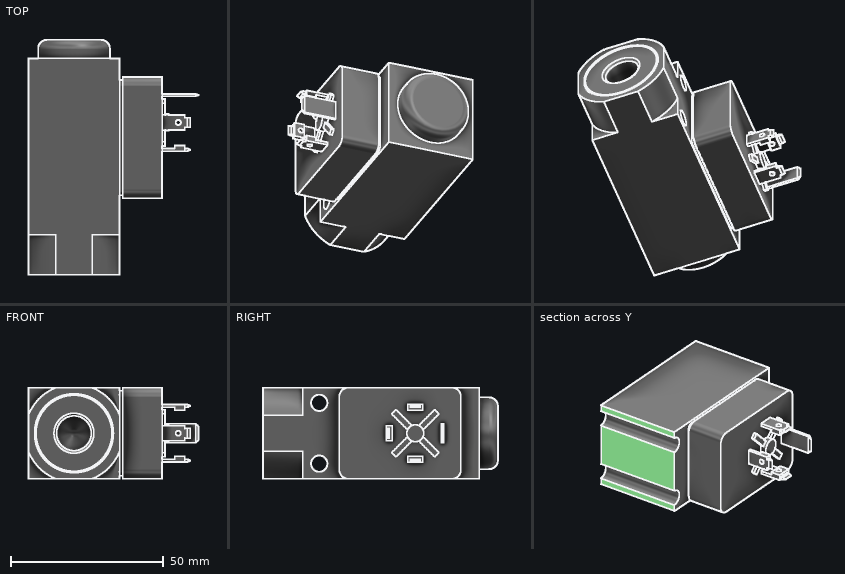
import cadquery as cq
import math

body_side = 30.0
body_length = 71.2
half_side = body_side / 2

neck_length = 13.1
neck_diameter = 32.3

cap_diameter = 23.7
cap_height = 6.1
cap_round = 3.0

port_diameter = 11.45
port_mouth_diameter = 13.16
port_depth = 8.0
drill_point_angle = 118.0

ring_diameter = 26.0
ring_groove_size = 0.5

bolt_hole_diameter = 5.3
bolt_hole_spacing = 20.0
bolt_hole_y = 18.5

plate_thickness = 1.0
block_thickness = 13.0
block_length = 40.0
block_height = body_side
block_round = 3.0
plate_inset = 1.0
block_near_y = 25.1
block_center_y = block_near_y + block_length / 2
block_base_x = half_side + plate_thickness
block_face_x = block_base_x + block_thickness

contact_axis_y = block_near_y + 25.0
cross_arm_width = 2.0
cross_span = 20.0
cross_height = 1.0
hub_diameter = 5.6
hub_height = 2.1

pin_offset = 9.0
pin_count = 3
pin_width = 5.0
pin_thickness = 1.0
pin_length = 7.5
pin_head_start = 4.1
pin_head_thickness = 1.95
pin_hole_diameter = 1.65
pin_hole_x = 5.3
pin_tip_width = 3.2
pin_tip_taper_start = 8.3
pin_tip_end = 9.3
tip_edge_thickness = 0.05

ground_width = 6.3
ground_thickness = 0.8
ground_tip_width = 4.4
ground_taper_start = 11.0
ground_length = 12.0


def cylinder_along_y(diameter, y_start, length):
    plane = cq.Workplane("XZ", origin=(0, y_start, 0))
    return plane.circle(diameter / 2).extrude(-length)


def make_body():
    main = cq.Workplane("XY").box(body_side, body_length - neck_length, body_side)
    main = main.translate((0, (body_length + neck_length) / 2, 0))
    neck_bar = cq.Workplane("XY").box(body_side, neck_length, body_side)
    neck_bar = neck_bar.translate((0, neck_length / 2, 0))
    neck = neck_bar.intersect(cylinder_along_y(neck_diameter, 0, neck_length))
    cap = cylinder_along_y(cap_diameter, body_length, cap_height).faces(">Y").edges().fillet(cap_round)
    return main.union(neck).union(cap)


def make_port():
    radius = port_diameter / 2
    mouth_radius = port_mouth_diameter / 2
    mouth_depth = mouth_radius - radius
    point_depth = radius / math.tan(math.radians(drill_point_angle / 2))
    profile = (
        cq.Workplane("XY")
        .lineTo(mouth_radius, 0)
        .lineTo(radius, mouth_depth)
        .lineTo(radius, port_depth)
        .lineTo(0, port_depth + point_depth)
        .close()
    )
    return profile.revolve(360, (0, 0, 0), (0, 1, 0))


def make_ring_groove():
    radius = ring_diameter / 2
    profile = (
        cq.Workplane("XY")
        .moveTo(radius - ring_groove_size, 0)
        .lineTo(radius, 0)
        .lineTo(radius, ring_groove_size)
        .close()
    )
    return profile.revolve(360, (0, 0, 0), (0, 1, 0))


def make_bolt_holes():
    plane = cq.Workplane("YZ", origin=(-half_side, bolt_hole_y, 0))
    return plane.rarray(1, bolt_hole_spacing, 1, 2).circle(bolt_hole_diameter / 2).extrude(body_side)


def rounded_slab(base_x, thickness, inset):
    plane = cq.Workplane("YZ", origin=(base_x, block_center_y, 0))
    slab = plane.rect(block_length - 2 * inset, block_height - 2 * inset).extrude(thickness)
    return slab.edges("|X").fillet(block_round - inset)


def make_connector_block():
    plate = rounded_slab(half_side, plate_thickness, plate_inset)
    return plate.union(rounded_slab(block_base_x, block_thickness, 0))


def make_cross():
    face = cq.Workplane("YZ", origin=(block_face_x, contact_axis_y, 0))
    cross = face.circle(hub_diameter / 2).extrude(hub_height)
    for angle in (45, -45):
        arm = face.transformed(rotate=(0, 0, angle)).rect(cross_span, cross_arm_width).extrude(cross_height)
        cross = cross.union(arm)
    return cross


def wedge(start_x, end_x, width, end_width, thickness):
    """Taper along +X from a full rectangle to a thin edge; width runs along Z."""
    base = cq.Workplane("YZ", origin=(start_x, 0, 0)).rect(thickness, width)
    tip = base.workplane(offset=end_x - start_x).rect(tip_edge_thickness, end_width)
    return tip.loft(ruled=True)


def blade(start_x, end_x, width, thickness):
    length = end_x - start_x
    return cq.Workplane("XY").box(length, thickness, width).translate((start_x + length / 2, 0, 0))


def make_pin():
    """Pin on the -Y side of the connector axis, with that axis as its origin."""
    outer_y = -pin_offset - pin_thickness / 2
    head_center_shift = (pin_head_thickness - pin_thickness) / 2
    head = blade(pin_head_start, pin_length, pin_width, pin_head_thickness)
    pin = blade(0, pin_head_start, pin_width, pin_thickness)
    pin = pin.union(head.translate((0, head_center_shift, 0)))
    pin = pin.union(blade(pin_length, pin_tip_taper_start, pin_tip_width, pin_thickness))
    pin = pin.union(wedge(pin_tip_taper_start, pin_tip_end, pin_tip_width, pin_tip_width, pin_thickness))
    pin = pin.translate((0, -pin_offset, 0))
    hole_plane = cq.Workplane("XZ", origin=(pin_hole_x, outer_y, 0))
    hole = hole_plane.circle(pin_hole_diameter / 2).extrude(-pin_head_thickness)
    return pin.cut(hole)


def make_ground_blade():
    shank = blade(0, ground_taper_start, ground_width, ground_thickness)
    tip = wedge(ground_taper_start, ground_length, ground_width, ground_tip_width, ground_thickness)
    return shank.union(tip).translate((0, pin_offset, 0))


def make_contacts():
    contacts = make_ground_blade()
    pin = make_pin()
    for index in range(pin_count):
        angle = 90 * (index - 1)
        contacts = contacts.union(pin.rotate((0, 0, 0), (1, 0, 0), angle))
    return contacts.translate((block_face_x, contact_axis_y, 0))


result = (
    make_body()
    .cut(make_port())
    .cut(make_ring_groove())
    .cut(make_bolt_holes())
    .union(make_connector_block())
    .union(make_cross())
    .union(make_contacts())
)